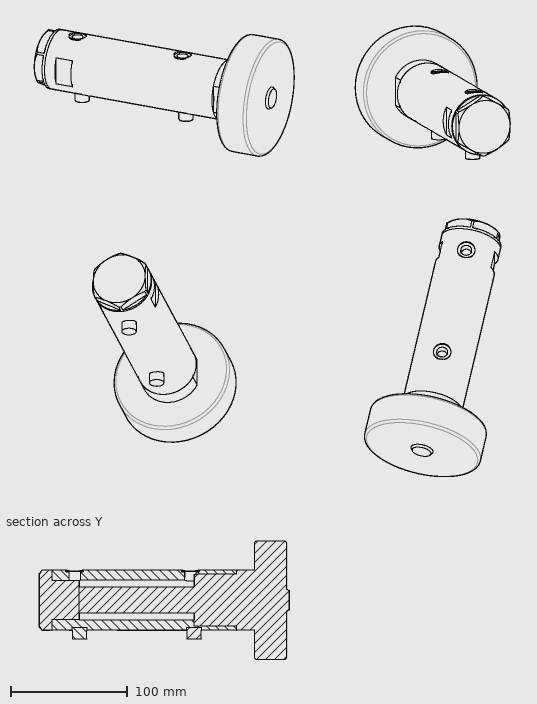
import cadquery as cq
import math

overall_length = 214.5
barrel_radius = 26.0
across_flats = 45.9
flat_half_width = across_flats / 2

hex_length = 8.8
hex_chamfer_length = 2.5
collar_end = 11.1
stub_radius = 17.0
stub_end = 34.5

barrel_end = 169.2
flats_start = 20.8
flats_length = 15.2
port_positions = (30.5, 129.5)
port_radius = 4.7
spot_radius = 7.5
spot_floor_height = 24.5

flange_start = 184.4
flange_radius = 51.0
flange_fillet = 2.1
flange_end = 212.3
boss_base_radius = 9.6
boss_top_radius = 8.4
shoulder_start = 132.7
shoulder_radius = 22.0
rod_radius = 11.4

pin_positions = (34.7, 132.7)
pin_radius = 6.2
pin_top = -23.5
pin_bottom = -33.5


def rod(start, end, radius):
    """Cylinder along X between two positions."""
    return cq.Workplane("YZ", origin=(start, 0, 0)).circle(radius).extrude(end - start)


def between_flats(start, end):
    """Slab as thick in Y as the wrench flats allow."""
    return cq.Workplane("XY").box(
        end - start, across_flats, 2 * barrel_radius, centered=(False, True, True)
    ).translate((start, 0, 0))


def upright_cylinder(x, radius, bottom, top):
    """Cylinder along Z at a position on the X axis."""
    return cq.Workplane("XY", origin=(x, 0, bottom)).circle(radius).extrude(top - bottom)


def make_pin(x):
    """Pin reaching from its socket in the barrel wall to below the barrel."""
    return upright_cylinder(x, pin_radius, pin_bottom, pin_top)


def make_plug():
    corner_diameter = across_flats / math.cos(math.radians(30))
    hexagon = cq.Workplane("YZ").polygon(6, corner_diameter).extrude(hex_length)
    hexagon = hexagon.rotate((0, 0, 0), (1, 0, 0), 90)
    envelope = (
        cq.Workplane("XY")
        .polyline([
            (0, 0),
            (0, flat_half_width),
            (hex_chamfer_length, barrel_radius),
            (hex_length, barrel_radius),
            (hex_length, 0),
        ])
        .close()
        .revolve(360, (0, 0, 0), (1, 0, 0))
    )
    collar = rod(hex_length, collar_end, barrel_radius)
    stub = rod(collar_end, stub_end, stub_radius)
    return hexagon.intersect(envelope).union(collar).union(stub)


def make_barrel():
    flats_end = flats_start + flats_length
    barrel = rod(collar_end, barrel_end, barrel_radius)
    flatted_band = rod(flats_start, flats_end, barrel_radius)
    barrel = barrel.cut(flatted_band.cut(between_flats(flats_start, flats_end)))
    barrel = barrel.cut(rod(collar_end, shoulder_start, stub_radius))
    barrel = barrel.cut(rod(shoulder_start, barrel_end, shoulder_radius))
    for x in port_positions:
        barrel = barrel.cut(upright_cylinder(x, port_radius, 0, barrel_radius))
        barrel = barrel.cut(upright_cylinder(x, spot_radius, spot_floor_height, barrel_radius))
    for x in pin_positions:
        barrel = barrel.cut(make_pin(x))
    return barrel


def make_boss():
    """Low tapered disc on the end face of the flange."""
    return (
        cq.Workplane("XY")
        .polyline([
            (flange_end, 0),
            (flange_end, boss_base_radius),
            (overall_length, boss_top_radius),
            (overall_length, 0),
        ])
        .close()
        .revolve(360, (0, 0, 0), (1, 0, 0))
    )


def make_head():
    flange = rod(flange_start, flange_end, flange_radius).edges().fillet(flange_fillet)
    neck = rod(barrel_end, flange_start, barrel_radius)
    neck = neck.intersect(between_flats(barrel_end, flange_start))
    thick_shaft = rod(shoulder_start, barrel_end, shoulder_radius)
    slim_shaft = rod(stub_end, shoulder_start, rod_radius)
    return flange.union(neck).union(thick_shaft).union(slim_shaft).union(make_boss())


plug = make_plug()
barrel = make_barrel()
head = make_head()
pins = [make_pin(x) for x in pin_positions]

result = cq.Compound.makeCompound([
    plug.val(),
    barrel.val(),
    head.val(),
    *[pin.val() for pin in pins],
])